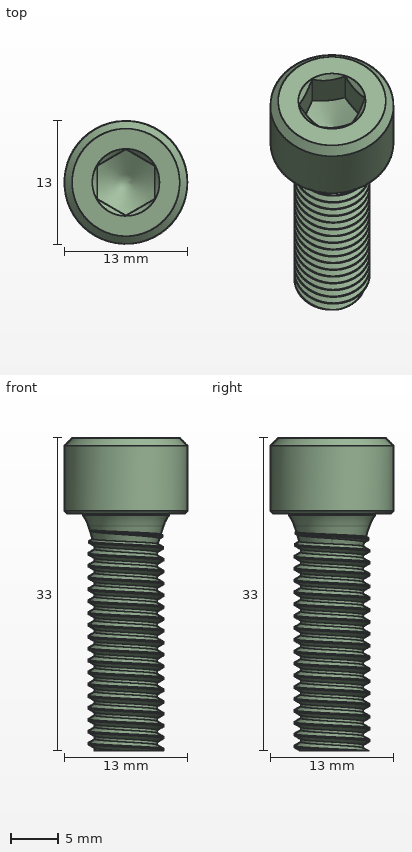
import cadquery as cq
import math

total_length = 33.0

head_diameter = 13.0
head_height = 8.0
head_top_chamfer = 0.82
head_bottom_chamfer = 0.3
head_bottom = total_length - head_height

hex_across_flats = 6.07
hex_circumscribed_diameter = hex_across_flats / math.cos(math.radians(30))
countersink_diameter = 7.1
socket_depth = 4.0
floor_slope = math.radians(30)

thread_radius = 4.0
full_thread_turns = 17.6
full_thread_rise = 22.0
pitch = full_thread_rise / full_thread_turns
flank_angle = math.radians(30)
thread_depth = 5 / 8 * pitch * math.cos(flank_angle)
core_radius = thread_radius - thread_depth
crest_width = pitch / 8
ridge_embedding = 0.1
tip_crest_height = 0.15
ridge_start_height = tip_crest_height - pitch
runout_turns = 2.0
runout_radius_loss = 0.15
no_taper = 360.0

collar_radius = 4.55
collar_height = 0.15
flare_middle_radius = 4.22
flare_middle_drop = 0.7
flare_drop = 1.25
neck_length = 3.35


def make_head():
    """Head cylinder with chamfered top and bottom rims."""
    return (
        cq.Workplane("XY", origin=(0, 0, head_bottom))
        .circle(head_diameter / 2)
        .extrude(head_height)
        .faces(">Z")
        .chamfer(head_top_chamfer)
        .faces("<Z")
        .chamfer(head_bottom_chamfer)
    )


def make_core():
    """Plain cylinder under the thread, ending just inside the head."""
    return cq.Workplane("XY").circle(core_radius).extrude(head_bottom + head_bottom_chamfer)


def make_neck():
    """Flared neck, ending just inside the head."""
    neck_top = head_bottom + head_bottom_chamfer
    return (
        cq.Workplane("XZ")
        .moveTo(0, head_bottom - neck_length)
        .lineTo(core_radius, head_bottom - neck_length)
        .lineTo(thread_radius, head_bottom - flare_drop)
        .threePointArc(
            (flare_middle_radius, head_bottom - flare_middle_drop),
            (collar_radius, head_bottom - collar_height),
        )
        .lineTo(collar_radius, neck_top)
        .lineTo(0, neck_top)
        .close()
        .revolve(360, (0, 0), (0, 1))
    )


def ridge_helices(turns, radius_loss=0):
    """Left-hand helices through the ridge corners, starting at +X and sinking inward by radius_loss."""
    height = turns * pitch
    taper_angle = -math.degrees(math.atan2(radius_loss, height)) if radius_loss else no_taper
    base_radius = core_radius - ridge_embedding
    half_crest = crest_width / 2
    half_base = half_crest + (thread_radius - base_radius) * math.tan(flank_angle)
    corners = [
        (base_radius, -half_base),
        (thread_radius, -half_crest),
        (thread_radius, half_crest),
        (base_radius, half_base),
    ]
    return [
        cq.Wire.makeHelix(pitch, height, radius, center=cq.Vector(0, 0, z), angle=taper_angle, lefthand=True)
        for radius, z in corners
    ]


def ridge_sides(helices):
    """Ruled faces between neighbouring corner helices."""
    faces = []
    for lower, upper in zip(helices, helices[1:] + helices[:1]):
        faces.extend(cq.Face.makeRuledSurface(lower, upper).Faces())
    return faces


def ridge_cap(helices, end):
    """Flat face closing the ridge at its start (0) or its end (1)."""
    corners = [helix.positionAt(end) for helix in helices]
    return cq.Face.makeFromWires(cq.Wire.makePolygon(corners, close=True))


def make_thread():
    """Full ridge followed by a runout that sinks into the neck, trimmed flat at the tip."""
    full_helices = ridge_helices(full_thread_turns)
    runout_helices = [
        helix.rotate(cq.Vector(0, 0, 0), cq.Vector(0, 0, 1), -360 * full_thread_turns).translate(
            cq.Vector(0, 0, full_thread_rise)
        )
        for helix in ridge_helices(runout_turns, runout_radius_loss)
    ]
    faces = ridge_sides(full_helices) + ridge_sides(runout_helices)
    faces += [ridge_cap(full_helices, 0), ridge_cap(runout_helices, 1)]
    ridge = cq.Workplane(cq.Solid.makeSolid(cq.Shell.makeShell(faces)).fix())
    below_tip = cq.Workplane("XY").circle(head_diameter).extrude(-2 * pitch)
    return ridge.translate((0, 0, ridge_start_height)).cut(below_tip)


def make_socket():
    """Socket volume to remove, measured down from the top of the head."""
    countersink_radius = countersink_diameter / 2
    hex_prism = (
        cq.Workplane("XY", origin=(0, 0, total_length))
        .polygon(6, hex_circumscribed_diameter)
        .extrude(-head_height)
        .rotate((0, 0, 0), (0, 0, 1), 30)
    )
    corner_radius = hex_circumscribed_diameter / 2
    wall_bottom = total_length - socket_depth
    floor_tip = wall_bottom - corner_radius * math.tan(floor_slope)
    drill = (
        cq.Workplane("XZ")
        .moveTo(0, total_length)
        .lineTo(corner_radius, total_length)
        .lineTo(corner_radius, wall_bottom)
        .lineTo(0, floor_tip)
        .close()
        .revolve(360, (0, 0), (0, 1))
    )
    countersink = (
        cq.Workplane("XZ")
        .moveTo(0, total_length)
        .lineTo(countersink_radius, total_length)
        .lineTo(0, total_length - countersink_radius)
        .close()
        .revolve(360, (0, 0), (0, 1))
    )
    return hex_prism.intersect(drill).union(countersink)


shank = make_core().union(make_thread()).union(make_neck())
result = shank.union(make_head()).cut(make_socket())